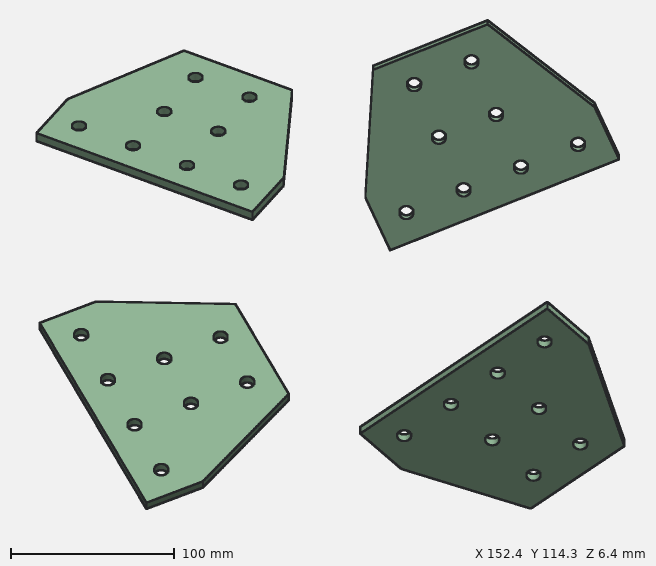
import cadquery as cq

pitch = 38.1
thickness = 6.4
hole_diameter = 8.7

width = 4 * pitch
depth = 3 * pitch
back_width = 2 * pitch
straight_side = pitch

front_row_y = -depth / 2 + pitch / 2
inner_x = pitch / 2
outer_x = width / 2 - pitch / 2


def tapered_plate():
    """Flat plate with straight front sides and sloping back corners."""
    outline = [
        (-width / 2, -depth / 2),
        (width / 2, -depth / 2),
        (width / 2, -depth / 2 + straight_side),
        (back_width / 2, depth / 2),
        (-back_width / 2, depth / 2),
        (-width / 2, -depth / 2 + straight_side),
    ]
    return cq.Workplane("XY").polyline(outline).close().extrude(thickness)


def hole_centres():
    """Two columns of three holes, plus one hole in each front corner."""
    centres = [(-outer_x, front_row_y), (outer_x, front_row_y)]
    for row in range(3):
        y = front_row_y + row * pitch
        centres += [(-inner_x, y), (inner_x, y)]
    return centres


result = (
    tapered_plate()
    .faces(">Z")
    .workplane(origin=(0, 0, thickness))
    .pushPoints(hole_centres())
    .hole(hole_diameter)
)